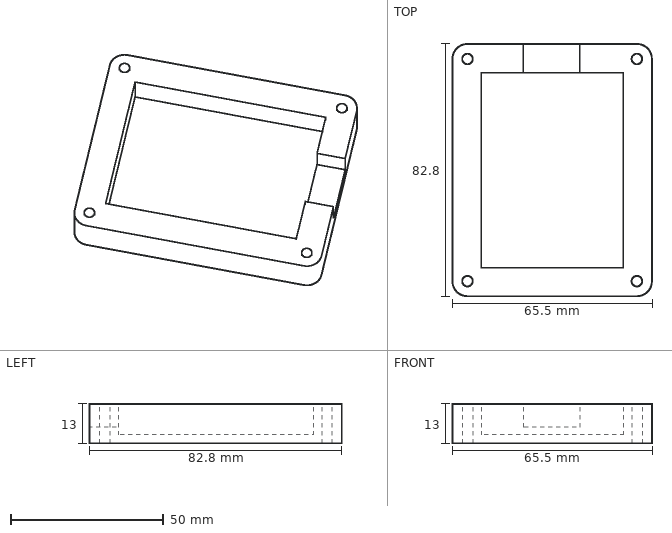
import cadquery as cq

width = 65.5
length = 82.8
height = 13.0
corner_radius = 5.0

wall = 9.4
pocket_depth = 10.0

notch_width = 18.45
notch_depth = 7.5
notch_center_x = -0.25

hole_diameter = 3.4


def make_block():
    block = cq.Workplane("XY").box(width, length, height, centered=(True, True, False))
    return block.edges("|Z").fillet(corner_radius)


def cut_pocket(body):
    return (
        body.faces(">Z").workplane(origin=(0, 0, height))
        .rect(width - 2 * wall, length - 2 * wall)
        .cutBlind(-pocket_depth)
    )


def cut_notch(body):
    notch_center_y = (length - wall) / 2
    return (
        body.faces(">Z").workplane(origin=(0, 0, height))
        .center(notch_center_x, notch_center_y)
        .rect(notch_width, wall)
        .cutBlind(-notch_depth)
    )


def cut_screw_holes(body):
    return (
        body.faces(">Z").workplane(origin=(0, 0, height))
        .rect(width - 2 * corner_radius, length - 2 * corner_radius, forConstruction=True)
        .vertices()
        .hole(hole_diameter)
    )


result = cut_screw_holes(cut_notch(cut_pocket(make_block())))